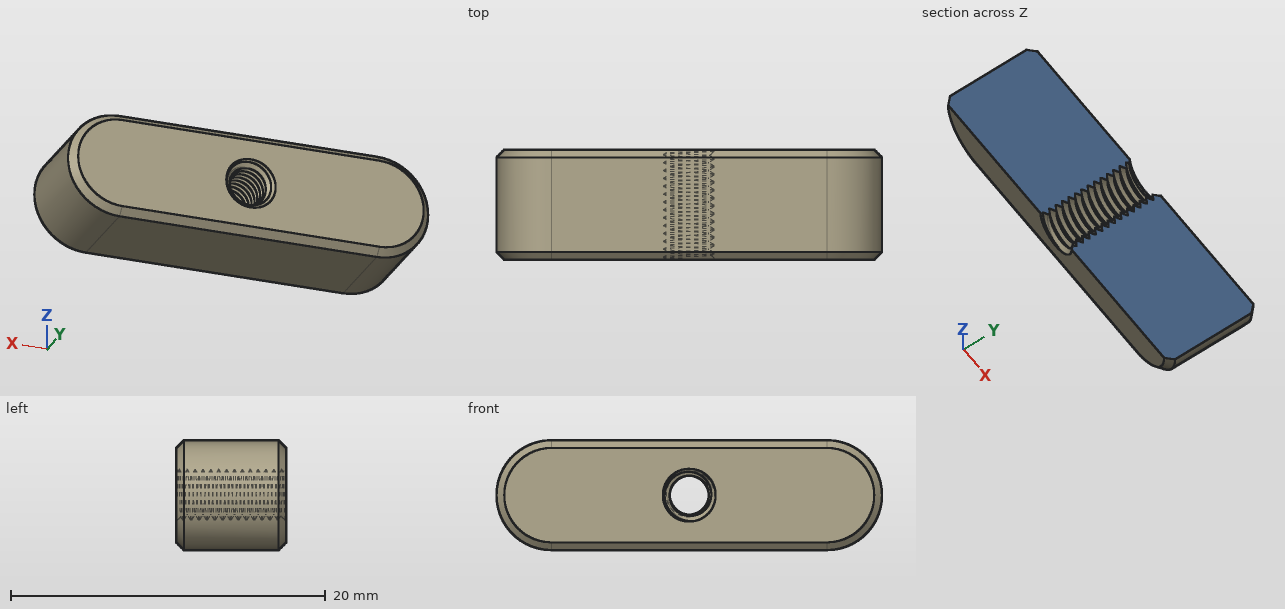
import cadquery as cq
import math

length = 24.5
width = 7.0
thickness = 7.0
edge_chamfer = 0.5

thread_pitch = 0.5
minor_diameter = 2.46
crest_flat = 0.02
flank_angle = 30.0
groove_half_width = (thread_pitch - crest_flat) / 2
thread_depth = groove_half_width / math.tan(math.radians(flank_angle))
mouth_diameter = 3.36
thread_shift = 0.08

overlap = 0.03


def make_body():
    """Round-ended bar, chamfered around both flat faces."""
    bar = cq.Workplane("XZ").slot2D(length, width).extrude(thickness / 2, both=True)
    return bar.faces("|Y").chamfer(edge_chamfer)


def make_bore():
    """Minor-diameter bore, opened by a 45 degree countersink at each mouth, along Z."""
    minor_radius = minor_diameter / 2
    mouth_radius = mouth_diameter / 2
    half = thickness / 2
    cone_end = half - (mouth_radius - minor_radius)
    axis_start = (0, 0, 0)
    axis_end = (0, 1, 0)
    return (
        cq.Workplane("XZ")
        .moveTo(0, -half)
        .lineTo(mouth_radius, -half)
        .lineTo(minor_radius, -cone_end)
        .lineTo(minor_radius, cone_end)
        .lineTo(mouth_radius, half)
        .lineTo(0, half)
        .close()
        .revolve(360, axis_start, axis_end)
    )


def make_thread_groove():
    """Right-hand helical V groove along Z, running past both mouths."""
    minor_radius = minor_diameter / 2
    inner_radius = minor_radius - overlap
    helix_height = thickness + 2 * thread_pitch
    helix = cq.Wire.makeHelix(thread_pitch, helix_height, minor_radius)
    groove = (
        cq.Workplane("XZ")
        .moveTo(inner_radius, -groove_half_width)
        .lineTo(minor_radius, -groove_half_width)
        .lineTo(minor_radius + thread_depth, 0)
        .lineTo(minor_radius, groove_half_width)
        .lineTo(inner_radius, groove_half_width)
        .close()
        .sweep(cq.Workplane(obj=helix), isFrenet=True)
    )
    return groove.translate((0, 0, thread_shift - helix_height / 2))


def turn_to_y(shape):
    """Turn a shape built along Z so that its axis lies along Y."""
    return shape.rotate((0, 0, 0), (1, 0, 0), 90)


body = make_body()
bore = turn_to_y(make_bore())
thread_groove = turn_to_y(make_thread_groove())
result = body.cut(bore).cut(thread_groove)